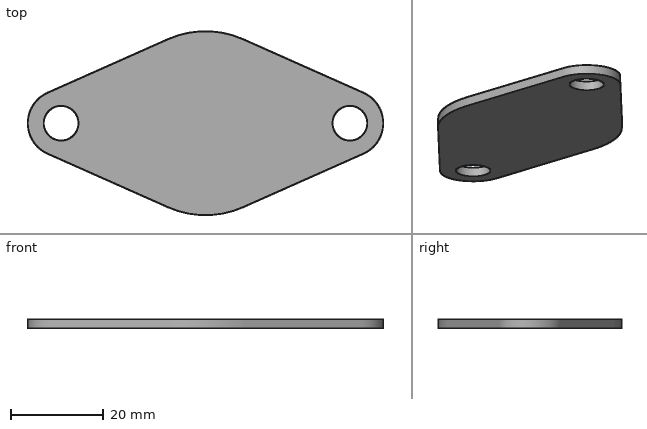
import cadquery as cq
import math

length = 77.0
width = 39.9
thickness = 2.0
end_radius = 7.2
hole_diameter = 7.5

middle_radius = width / 2
hole_offset = length / 2 - end_radius

edge_angle = math.asin((middle_radius - end_radius) / hole_offset)
middle_x = middle_radius * math.sin(edge_angle)
middle_y = middle_radius * math.cos(edge_angle)
end_x = hole_offset + end_radius * math.sin(edge_angle)
end_y = end_radius * math.cos(edge_angle)

plate = (
    cq.Workplane("XY")
    .moveTo(-middle_x, middle_y)
    .threePointArc((0, middle_radius), (middle_x, middle_y))
    .lineTo(end_x, end_y)
    .threePointArc((length / 2, 0), (end_x, -end_y))
    .lineTo(middle_x, -middle_y)
    .threePointArc((0, -middle_radius), (-middle_x, -middle_y))
    .lineTo(-end_x, -end_y)
    .threePointArc((-length / 2, 0), (-end_x, end_y))
    .close()
    .extrude(thickness)
)

result = (
    plate.faces(">Z")
    .workplane(origin=(0, 0, thickness))
    .pushPoints([(-hole_offset, 0), (hole_offset, 0)])
    .hole(hole_diameter)
)